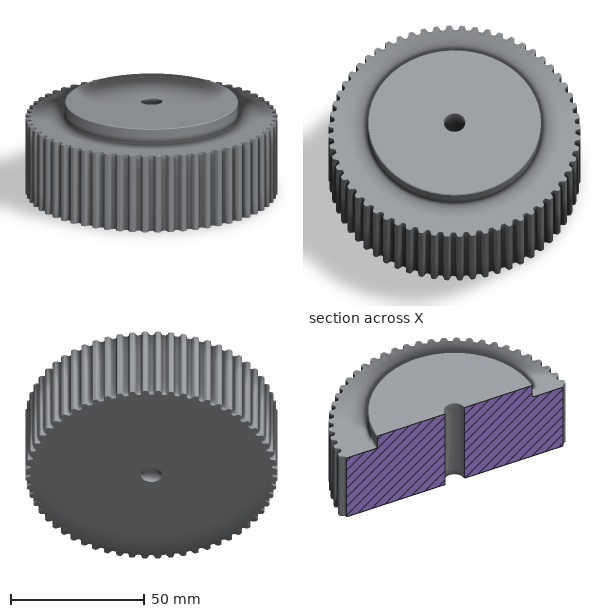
import cadquery as cq
import math

tooth_count = 60
belt_pitch = 5.0
tip_inset = 0.4215
outer_radius = tooth_count * belt_pitch / (2 * math.pi) - tip_inset
rim_height = 30.0

gap_bottom_width = 1.5
gap_depth = 1.95
flank_angle = 25.0
tip_radius = 0.6
root_radius = 0.4

hub_radius = 32.5
hub_height = 6.0
hub_edge_break = 0.3
hub_base_fillet = 0.8

bore_diameter = 8.0
bore_edge_break = 0.2

total_height = rim_height + hub_height


def make_rim():
    """Cylinder with evenly spaced belt-tooth gaps, one of them on the +X axis."""
    blank = cq.Workplane("XY").circle(outer_radius).extrude(rim_height)
    return blank.cut(make_gaps())


def make_gaps():
    """Prisms that cut every tooth gap, including the rounding of the tooth tips."""
    lean = math.radians(flank_angle)
    root_half_width = gap_bottom_width / 2
    root_x = outer_radius - gap_depth
    centre_reach = outer_radius - tip_radius
    flank_offset = root_half_width * math.cos(lean) - root_x * math.sin(lean) + tip_radius
    centre_angle = lean + math.asin(flank_offset / centre_reach)
    centre_x = centre_reach * math.cos(centre_angle)
    centre_y = centre_reach * math.sin(centre_angle)
    mid_angle = (centre_angle - (math.pi / 2 - lean)) / 2

    def tip_point(direction):
        return (
            centre_x + tip_radius * math.cos(direction),
            centre_y + tip_radius * math.sin(direction),
        )

    def mirrored(point):
        return (point[0], -point[1])

    tip_end = tip_point(centre_angle)
    tip_middle = tip_point(mid_angle)
    tip_start = tip_point(lean - math.pi / 2)

    gap = (
        cq.Workplane("XY")
        .moveTo(root_x, -root_half_width)
        .lineTo(*mirrored(tip_start))
        .threePointArc(mirrored(tip_middle), mirrored(tip_end))
        .threePointArc((outer_radius, 0), tip_end)
        .threePointArc(tip_middle, tip_start)
        .lineTo(root_x, root_half_width)
        .close()
        .extrude(rim_height)
        .faces("<X")
        .edges("|Z")
        .fillet(root_radius)
    )
    angle_step = 360 / tooth_count
    gaps = [gap.val().rotate((0, 0, 0), (0, 0, 1), i * angle_step) for i in range(tooth_count)]
    return cq.Compound.makeCompound(gaps)


def make_hub():
    """Revolved hub with a broken top edge and a concave fillet at its foot."""
    fillet_dip = hub_base_fillet * (1 - math.sqrt(0.5))
    return (
        cq.Workplane("XZ")
        .moveTo(0, rim_height)
        .lineTo(hub_radius + hub_base_fillet, rim_height)
        .threePointArc(
            (hub_radius + fillet_dip, rim_height + fillet_dip),
            (hub_radius, rim_height + hub_base_fillet),
        )
        .lineTo(hub_radius, total_height - hub_edge_break)
        .lineTo(hub_radius - hub_edge_break, total_height)
        .lineTo(0, total_height)
        .close()
        .revolve(360, (0, 0, 0), (0, 1, 0))
    )


def make_bore():
    """Through bore with a small chamfer at its upper end."""
    bore_radius = bore_diameter / 2
    return (
        cq.Workplane("XZ")
        .moveTo(0, 0)
        .lineTo(bore_radius, 0)
        .lineTo(bore_radius, total_height - bore_edge_break)
        .lineTo(bore_radius + bore_edge_break, total_height)
        .lineTo(0, total_height)
        .close()
        .revolve(360, (0, 0, 0), (0, 1, 0))
    )


result = make_rim().union(make_hub()).cut(make_bore())